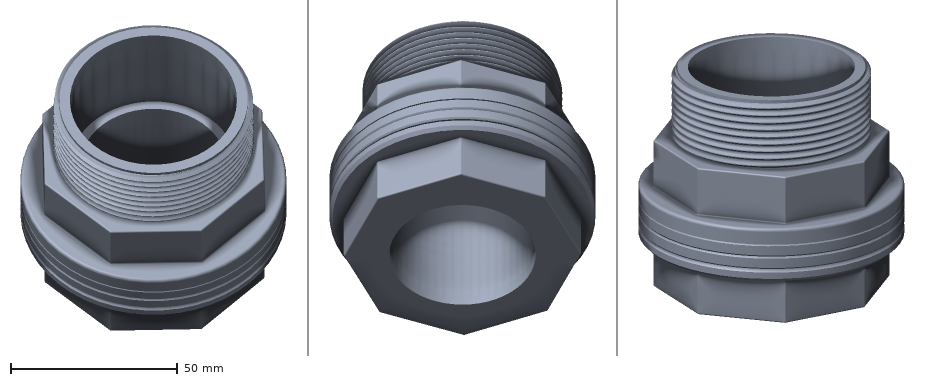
import cadquery as cq
import math

lower_flange_bottom = 15.0
ring_bottom = 19.0
ring_thickness = 4.0
ring_count = 2
upper_flange_bottom = ring_bottom + ring_count * ring_thickness
upper_flange_top = 32.0
octagon_top = 47.0
thread_top = 68.0
total_height = 69.0

flange_diameter = 80.0
bore_diameter = 44.0
socket_mouth_diameter = 50.2
socket_root_diameter = 49.8
socket_depth = 31.0
across_flats = 66.0
octagon_sides = 8

octagon_fillet = 0.5
flange_fillet = 1.0
flange_chamfer = 1.0
ring_chamfer = 0.5

thread_core_diameter = 56.66
thread_crest_diameter = 60.0
thread_pitch = 2.309
ridge_width = 2.1
crest_width = 0.25
ridge_overlap = 0.2
spare_turns = 2


def disc(diameter, bottom, top):
    """Solid cylinder about Z between two heights."""
    return cq.Workplane("XY").workplane(offset=bottom).circle(diameter / 2).extrude(top - bottom)


def octagon(bottom, top):
    """Octagonal wrench section with flats facing X and Y and softened corners."""
    half_corner_angle = 180 / octagon_sides
    across_corners = across_flats / math.cos(math.radians(half_corner_angle))
    return (
        cq.Workplane("XY")
        .polygon(octagon_sides, across_corners)
        .extrude(top - bottom)
        .rotate((0, 0, 0), (0, 0, 1), half_corner_angle)
        .translate((0, 0, bottom))
        .edges("|Z")
        .fillet(octagon_fillet)
    )


def thread_ridge():
    """Right-hand V-shaped ridge, trimmed flat at both ends of the thread."""
    core_radius = thread_core_diameter / 2
    crest_radius = thread_crest_diameter / 2
    turns = math.ceil((thread_top - octagon_top) / thread_pitch) + spare_turns
    helix_height = turns * thread_pitch
    helix_start = thread_top + thread_pitch - helix_height

    half_width = ridge_width / 2
    profile = (
        cq.Workplane("XZ")
        .moveTo(core_radius - ridge_overlap, -half_width)
        .lineTo(core_radius, -half_width)
        .lineTo(crest_radius, -crest_width / 2)
        .lineTo(crest_radius, crest_width / 2)
        .lineTo(core_radius, half_width)
        .lineTo(core_radius - ridge_overlap, half_width)
        .close()
    )
    helix = cq.Workplane(obj=cq.Wire.makeHelix(thread_pitch, helix_height, core_radius))
    ridge = (
        profile.sweep(helix, isFrenet=True)
        .rotate((0, 0, 0), (0, 0, 1), 180)
        .translate((0, 0, helix_start))
    )
    return ridge.intersect(disc(flange_diameter, octagon_top, thread_top))


def tapered_socket():
    """Pipe socket that narrows slightly from its mouth to its shoulder."""
    return (
        cq.Workplane("XY")
        .workplane(offset=total_height - socket_depth)
        .circle(socket_root_diameter / 2)
        .workplane(offset=socket_depth)
        .circle(socket_mouth_diameter / 2)
        .loft(ruled=True)
    )


def make_threaded_body():
    """Upper body: flange, octagon and threaded neck around a pipe socket."""
    flange = (
        disc(flange_diameter, upper_flange_bottom, upper_flange_top)
        .faces(">Z")
        .edges()
        .fillet(flange_fillet)
    )
    wrench = octagon(upper_flange_top, octagon_top).faces(">Z").edges().fillet(octagon_fillet)
    joined = flange.union(wrench)
    holed_faces = [face for face in joined.faces("|Z").vals() if face.innerWires()]
    foot_edges = holed_faces[0].innerWires()[0].Edges()
    base = joined.newObject(foot_edges).fillet(octagon_fillet)
    neck = disc(thread_core_diameter, octagon_top, total_height).union(thread_ridge())
    bore = disc(bore_diameter, 0, total_height)
    return base.union(neck).cut(bore).cut(tapered_socket())


def make_ring(bottom):
    """Flat ring with both outer edges chamfered, clamped between the flanges."""
    return (
        disc(flange_diameter, bottom, bottom + ring_thickness)
        .edges()
        .chamfer(ring_chamfer)
        .cut(disc(bore_diameter, bottom, bottom + ring_thickness))
    )


def make_lower_body():
    """Lower body: octagon below a chamfered flange."""
    flange = disc(flange_diameter, lower_flange_bottom, ring_bottom).edges().chamfer(flange_chamfer)
    wrench = octagon(0, lower_flange_bottom).faces("<Z").edges().fillet(octagon_fillet)
    return flange.union(wrench).cut(disc(bore_diameter, 0, ring_bottom))


threaded_body = make_threaded_body()
rings = [make_ring(ring_bottom + index * ring_thickness) for index in range(ring_count)]
lower_body = make_lower_body()

result = cq.Compound.makeCompound([
    threaded_body.val(),
    *[ring.val() for ring in rings],
    lower_body.val(),
])